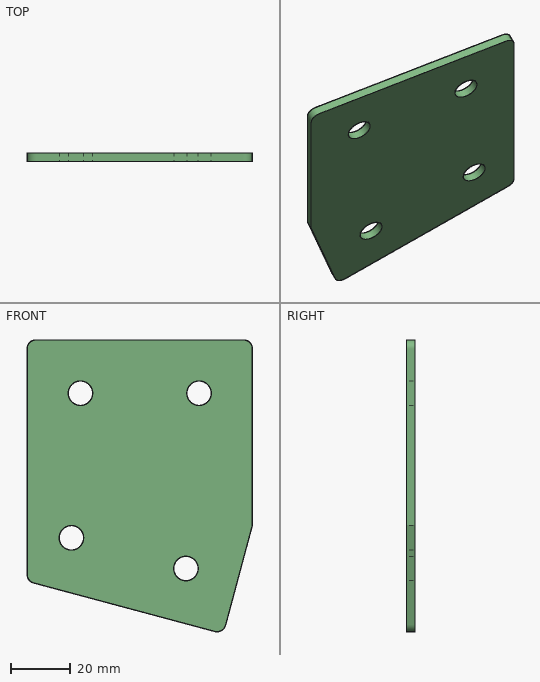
import cadquery as cq
import math

width = 76.0
height = 98.5
thickness = 3.0
corner_radius = 3.1
slant = math.radians(15)
knee_depth = 62.5

hole_diameter = 8.2
upper_hole_inset = 18.0
hole_pitch = 40.0
lower_hole_x = 15.0
lower_hole_depth = 66.8

tip_center_depth = height - corner_radius
tip_offset = corner_radius / math.cos(slant)
tip_center_x = width - (tip_center_depth - knee_depth) * math.tan(slant) - tip_offset

left_depth = tip_center_depth + tip_offset - tip_center_x * math.tan(slant)
tip_x = tip_center_x + corner_radius * (math.cos(slant) - math.sin(slant))
tip_depth = tip_center_depth + corner_radius * (math.cos(slant) + math.sin(slant))

outline = [
    (0, 0),
    (width, 0),
    (width, -knee_depth),
    (tip_x, -tip_depth),
    (0, -left_depth),
]
rounded_corners = [outline[0], outline[1], outline[3], outline[4]]

hole_centers = [
    (upper_hole_inset, -upper_hole_inset),
    (upper_hole_inset + hole_pitch, -upper_hole_inset),
    (lower_hole_x, -lower_hole_depth),
    (
        lower_hole_x + hole_pitch * math.cos(slant),
        -lower_hole_depth - hole_pitch * math.sin(slant),
    ),
]

plate = cq.Workplane("XZ").polyline(outline).close().extrude(-thickness)

for x, z in rounded_corners:
    corner_edge = cq.selectors.NearestToPointSelector((x, thickness / 2, z))
    plate = plate.edges("|Y").edges(corner_edge).fillet(corner_radius)

holes = (
    cq.Workplane("XZ")
    .pushPoints(hole_centers)
    .circle(hole_diameter / 2)
    .extrude(-thickness)
)

result = plate.cut(holes)